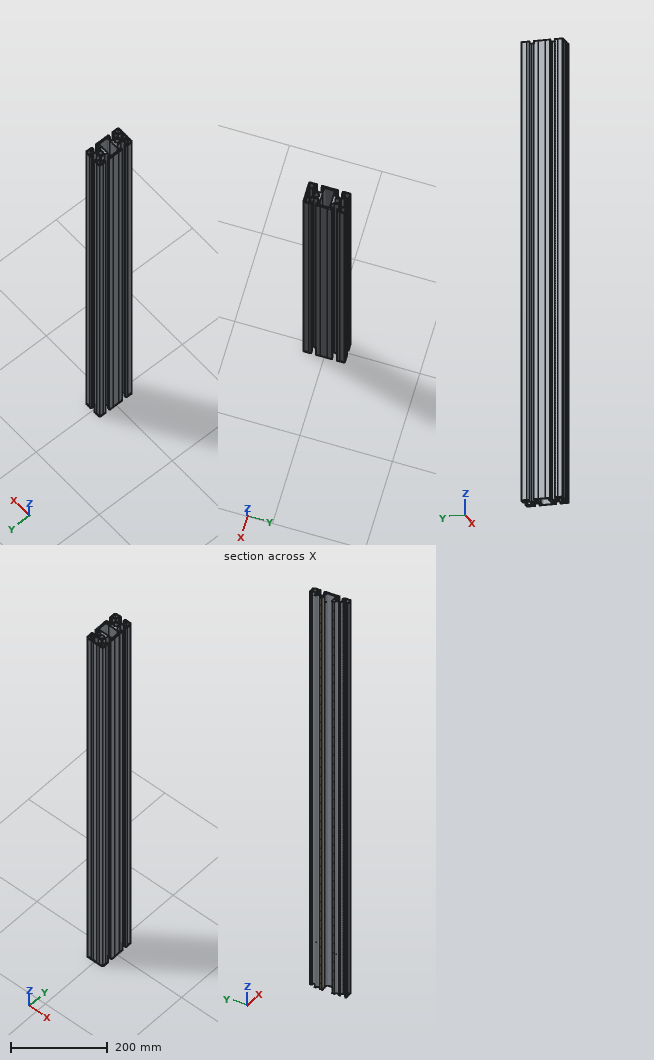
import cadquery as cq
import math

length = 1000.0
width = 45.0
depth = 2 * width
half_pitch = width / 2
corner_radius = 3.0

mouth_half = 5.0
mouth_round = 1.0
hook_half = 6.0
lip_tip = 6.0
lip_root = 3.0
cavity_half = 10.0

skin = 1.5
web = 1.0
arm_thickness = 2.5

core_radius = 8.0
core_bore_radius = 5.0

corner_hole_size = half_pitch - cavity_half - web - skin
corner_hole_inset = skin + corner_hole_size / 2

chamber_half_x = 19.0
chamber_half_y = half_pitch - cavity_half - web
chamber_round = 4.0

relief_half = 7.5
relief_depth = 0.2


def bar(size_x, size_y, x=0.0, y=0.0):
    """Full-length rectangular bar centred on (x, y)."""
    return cq.Workplane("XY").center(x, y).rect(size_x, size_y).extrude(length)


def rod(radius, x=0.0, y=0.0):
    """Full-length round bar centred on (x, y)."""
    return cq.Workplane("XY").center(x, y).circle(radius).extrude(length)


def slot_cavity():
    """Inside of the T-slot on the -Y side of a square half centred on the origin.

    It narrows along the two diagonal arms and stops at the round core.
    """
    face = -half_pitch
    arm_offset = arm_thickness / math.sqrt(2)
    right_side = [
        (mouth_half, face + skin),
        (mouth_half, face + lip_tip),
        (hook_half, face + lip_tip),
        (hook_half, face + lip_root),
        (cavity_half, face + lip_root),
        (cavity_half, -cavity_half - arm_offset),
    ]
    left_side = [(-x, y) for x, y in reversed(right_side)]
    outline = right_side + [(0, -arm_offset)] + left_side
    return cq.Workplane("XY").polyline(outline).close().extrude(length).cut(rod(core_radius))


def slot_mouth():
    """Opening through the skin on the -Y side, flared by the rounded lip edges."""
    face = -half_pitch
    flare_half = mouth_half + mouth_round
    mouth = bar(2 * flare_half, mouth_round, 0, face + mouth_round / 2)
    for side in (-1, 1):
        mouth = mouth.cut(rod(mouth_round, side * flare_half, face + mouth_round))
    return mouth.union(bar(2 * mouth_half, skin, 0, face + skin / 2))


def place(slot, angle, y):
    """Turn a slot about the core axis and move it to the square half at y."""
    return slot.rotate((0, 0, 0), (0, 0, 1), angle).translate((0, y, 0))


closed_slot = slot_cavity()
open_slot = closed_slot.union(slot_mouth())

body = bar(width, depth).edges("|Z").fillet(corner_radius)

for half_y in (-half_pitch, half_pitch):
    for angle in (-90, 90):
        body = body.cut(place(open_slot, angle, half_y))
body = body.cut(place(open_slot, 180, half_pitch))
body = body.cut(place(closed_slot, 0, -half_pitch))

for end in (-1, 1):
    body = body.cut(rod(core_bore_radius, 0, end * half_pitch))
    for side in (-1, 1):
        hole_x = side * (width / 2 - corner_hole_inset)
        hole_y = end * (depth / 2 - corner_hole_inset)
        body = body.cut(bar(corner_hole_size, corner_hole_size, hole_x, hole_y))

chamber = bar(2 * chamber_half_x, 2 * chamber_half_y).edges("|Z").fillet(chamber_round)
body = body.cut(chamber)

for side in (-1, 1):
    body = body.cut(bar(relief_depth, 2 * relief_half, side * (width - relief_depth) / 2, 0))

result = body